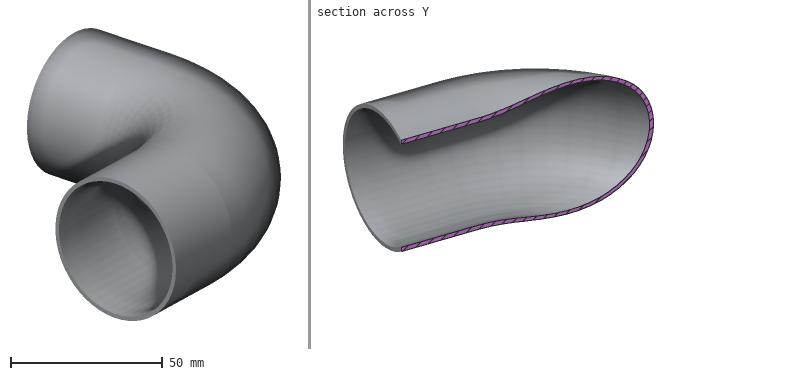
import cadquery as cq
import math

overall_length = 106.2
outer_diameter = 50.8
inner_diameter = 47.8
bend_radius = outer_diameter

straight_length = overall_length - bend_radius - outer_diameter / 2

bend_start = (0, bend_radius)
bend_middle = (bend_radius * math.cos(math.pi / 4), bend_radius * math.sin(math.pi / 4))
bend_end = (bend_radius, 0)
inlet_center = (-straight_length, bend_radius)
outlet_center = (bend_radius, -straight_length)

centerline = (
    cq.Workplane("XY")
    .moveTo(*inlet_center)
    .lineTo(*bend_start)
    .threePointArc(bend_middle, bend_end)
    .lineTo(*outlet_center)
)

pipe_section = (
    cq.Workplane("YZ", origin=(*inlet_center, 0))
    .circle(outer_diameter / 2)
    .circle(inner_diameter / 2)
)
result = pipe_section.sweep(centerline)